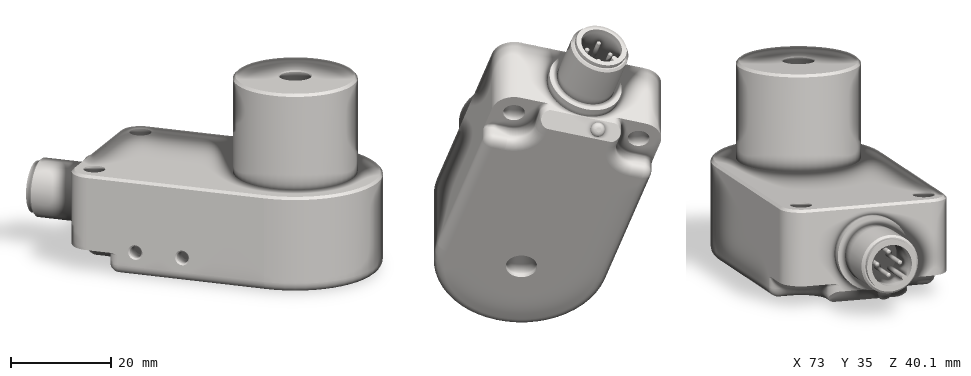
import cadquery as cq
import math

HALF_WIDTH = 17.5
BACK_X = -42.5
HOUSING_HEIGHT = 20.0
CORNER_RADIUS = 4.5
TOP_CHAMFER = 0.5
BOTTOM_FILLET = 2.0
BACK_CHAMFER = 2.7

HOLE_X = BACK_X + CORNER_RADIUS
HOLE_Y = HALF_WIDTH - CORNER_RADIUS
HOLE_POINTS = [(HOLE_X, -HOLE_Y), (HOLE_X, HOLE_Y)]
HOLE_RADIUS = 2.2
BUSHING_RADIUS = 3.1
POCKET_HEIGHT = 4.4
POCKET_RADIUS = 4.5
POCKET_LIP_RADIUS = 2.0
POCKET_CEILING_FILLET = 0.4
CUT_MARGIN = 0.7

INDICATOR_Y = -3.5
INDICATOR_RADIUS = 1.45
INDICATOR_HEIGHT = 1.1
INDICATOR_FILLET = 0.95

COVER_THICKNESS = 2.0
COVER_BACK_MARGIN = 1.25
COVER_HALF_WIDTH = 16.0
COVER_END_RADIUS = 16.35
COVER_NOTCH_RADIUS = 4.5
TOWER_RADIUS = 12.5
TOWER_HEIGHT = 20.0
TOWER_CHAMFER = 0.5
BORE_RADIUS = 3.15
BORE_CHAMFER = 0.2

INSERT_XS = [-27.5, -17.5]
INSERT_Z = 5.0
INSERT_RADIUS = 2.05
INSERT_LENGTH = 4.0
INSERT_HOLE_RADIUS = 1.25
INSERT_HOLE_DEPTH = 2.9
INSERT_HOLE_CHAMFER = 0.3

CONNECTOR_Z = 10.5
FLANGE_RADIUS = 7.5
FLANGE_LENGTH = 2.0
BARREL_RADIUS = 6.0
BARREL_CHAMFER = 0.45
TIP_RADIUS = 5.25
TIP_LENGTH = 0.9
CONNECTOR_LENGTH = 13.0
SOCKET_RADIUS = 4.2
SOCKET_DEPTH = 9.0
PIN_RADIUS = 0.45
PIN_LENGTH = 7.3
PIN_TIP_CHAMFER = 0.2
PIN_CIRCLE_RADIUS = 2.4
PIN_COUNT = 4
PIN_RECESS_RADIUS = 0.9
PIN_RECESS_DEPTH = 0.5
KEY_RADIUS = 0.5
KEY_CENTRE_RADIUS = 3.8
KEY_ANGLE = 225


def housing_outline():
    """Plan outline: a square end with rounded corners and a half-round end."""
    return (
        cq.Workplane("XY")
        .moveTo(BACK_X + CORNER_RADIUS, HALF_WIDTH)
        .lineTo(0, HALF_WIDTH)
        .threePointArc((HALF_WIDTH, 0), (0, -HALF_WIDTH))
        .lineTo(BACK_X + CORNER_RADIUS, -HALF_WIDTH)
        .radiusArc((BACK_X, -HALF_WIDTH + CORNER_RADIUS), CORNER_RADIUS)
        .lineTo(BACK_X, HALF_WIDTH - CORNER_RADIUS)
        .radiusArc((BACK_X + CORNER_RADIUS, HALF_WIDTH), CORNER_RADIUS)
        .close()
    )


def pocket_cutter(side):
    """Corner pocket around one hole axis, rounded along its ceiling; side is -1 or 1 for its Y sign."""
    wall_x = HOLE_X + POCKET_RADIUS
    wall_y = HOLE_Y - POCKET_RADIUS
    lip = POCKET_LIP_RADIUS
    bend = POCKET_RADIUS * math.sqrt(0.5)
    lip_bend = lip * (1 - math.sqrt(0.5))
    outer_x = BACK_X - CUT_MARGIN
    outer_y = HALF_WIDTH + CUT_MARGIN
    cutter = (
        cq.Workplane("XY")
        .moveTo(BACK_X, wall_y - lip)
        .threePointArc((BACK_X + lip_bend, wall_y - lip_bend), (BACK_X + lip, wall_y))
        .lineTo(HOLE_X, wall_y)
        .threePointArc((HOLE_X + bend, HOLE_Y - bend), (wall_x, HOLE_Y))
        .lineTo(wall_x, HALF_WIDTH - lip)
        .threePointArc((wall_x + lip_bend, HALF_WIDTH - lip_bend), (wall_x + lip, HALF_WIDTH))
        .lineTo(wall_x + lip, outer_y)
        .lineTo(outer_x, outer_y)
        .lineTo(outer_x, wall_y - lip)
        .close()
        .extrude(POCKET_HEIGHT)
    )
    wall_corner = (wall_x, wall_y, POCKET_HEIGHT)
    ceiling_edge = cutter.faces(">Z").edges(cq.selectors.NearestToPointSelector(wall_corner))
    cutter = ceiling_edge.fillet(POCKET_CEILING_FILLET)
    return cutter if side > 0 else cutter.mirror("XZ")


def side_insert(x):
    """Sleeve with a blind, chamfered hole, flush with the -Y side of the housing."""
    mouth = cq.Workplane("XZ", origin=(x, -HALF_WIDTH, INSERT_Z))
    body = mouth.circle(INSERT_RADIUS).extrude(-INSERT_LENGTH)
    hole = mouth.circle(INSERT_HOLE_RADIUS).extrude(-INSERT_HOLE_DEPTH)
    sleeve = body.cut(hole)
    hole_edge = sleeve.faces("<Y").edges(cq.selectors.RadiusNthSelector(0))
    return hole_edge.chamfer(INSERT_HOLE_CHAMFER)


def cover_outline():
    """Plan outline of the cover: straight sides, an arc around the tower and notches at the holes."""
    back_x = BACK_X + COVER_BACK_MARGIN
    notch_x = HOLE_X + COVER_NOTCH_RADIUS
    notch_y = HOLE_Y - COVER_NOTCH_RADIUS
    bend = COVER_NOTCH_RADIUS * math.sqrt(0.5)
    arc_x = -math.sqrt(COVER_END_RADIUS**2 - COVER_HALF_WIDTH**2)
    return (
        cq.Workplane("XY", origin=(0, 0, HOUSING_HEIGHT))
        .moveTo(back_x, notch_y)
        .lineTo(HOLE_X, notch_y)
        .threePointArc((HOLE_X + bend, HOLE_Y - bend), (notch_x, HOLE_Y))
        .lineTo(notch_x, COVER_HALF_WIDTH)
        .lineTo(arc_x, COVER_HALF_WIDTH)
        .threePointArc((COVER_END_RADIUS, 0), (arc_x, -COVER_HALF_WIDTH))
        .lineTo(notch_x, -COVER_HALF_WIDTH)
        .lineTo(notch_x, -HOLE_Y)
        .threePointArc((HOLE_X + bend, -HOLE_Y + bend), (HOLE_X, -notch_y))
        .lineTo(back_x, -notch_y)
        .close()
    )


def make_cover():
    plate = cover_outline().extrude(-COVER_THICKNESS)
    tower = (
        cq.Workplane("XY", origin=(0, 0, HOUSING_HEIGHT))
        .circle(TOWER_RADIUS)
        .extrude(TOWER_HEIGHT)
        .faces(">Z").chamfer(TOWER_CHAMFER)
    )
    cover = plate.union(tower).cut(tower_bore())
    bore_edge = cover.faces(">Z").edges(cq.selectors.RadiusNthSelector(0))
    return bore_edge.chamfer(BORE_CHAMFER)


def tower_bore():
    return cq.Workplane("XY").circle(BORE_RADIUS).extrude(HOUSING_HEIGHT + TOWER_HEIGHT)


def bushing(x, y):
    """Plain sleeve from the pocket ceiling to the top face."""
    return (
        cq.Workplane("XY", origin=(x, y, POCKET_HEIGHT))
        .circle(BUSHING_RADIUS)
        .circle(HOLE_RADIUS)
        .extrude(HOUSING_HEIGHT - POCKET_HEIGHT)
    )


def indicator():
    """Round-edged button standing square on the middle of the back bevel."""
    bevel_middle = BACK_CHAMFER / 2
    bevel_plane = cq.Plane(
        origin=(BACK_X + bevel_middle, INDICATOR_Y, bevel_middle),
        xDir=(0, 1, 0),
        normal=(-1, 0, -1),
    )
    button = cq.Workplane(bevel_plane).workplane(offset=-INDICATOR_HEIGHT)
    button = button.circle(INDICATOR_RADIUS).extrude(2 * INDICATOR_HEIGHT)
    outer_face = button.faces(cq.selectors.DirectionMinMaxSelector(bevel_plane.zDir))
    return outer_face.edges().fillet(INDICATOR_FILLET)


def make_housing():
    housing = housing_outline().extrude(HOUSING_HEIGHT)
    for side in (-1, 1):
        housing = housing.cut(pocket_cutter(side))
    housing = housing.faces("<Z").edges().fillet(BOTTOM_FILLET)
    housing = housing.faces(">Z").edges().chamfer(TOP_CHAMFER)

    bevel = (
        cq.Workplane("XZ", origin=(BACK_X, HALF_WIDTH, 0))
        .polyline([(0, 0), (BACK_CHAMFER, 0), (0, BACK_CHAMFER)])
        .close()
        .extrude(2 * HALF_WIDTH)
    )
    housing = housing.cut(bevel).union(indicator())

    housing = housing.cut(tower_bore()).cut(cover_outline().extrude(-COVER_THICKNESS))
    bushing_seats = (
        cq.Workplane("XY").pushPoints(HOLE_POINTS).circle(BUSHING_RADIUS).extrude(HOUSING_HEIGHT)
    )
    insert_seats = (
        cq.Workplane("XZ", origin=(0, -HALF_WIDTH, INSERT_Z))
        .pushPoints([(x, 0) for x in INSERT_XS])
        .circle(INSERT_RADIUS)
        .extrude(-INSERT_LENGTH)
    )
    return housing.cut(bushing_seats).cut(insert_seats)


def connector_disc(radius, start, length):
    """Round piece on the connector axis; start is the distance from the back end of the housing."""
    return (
        cq.Workplane("YZ", origin=(BACK_X - start, 0, CONNECTOR_Z))
        .circle(radius)
        .extrude(-length)
    )


def make_connector():
    barrel_end = CONNECTOR_LENGTH - TIP_LENGTH
    floor = CONNECTOR_LENGTH - SOCKET_DEPTH
    barrel = connector_disc(BARREL_RADIUS, 0, barrel_end).faces("<X").chamfer(BARREL_CHAMFER)
    connector = (
        connector_disc(FLANGE_RADIUS, 0, FLANGE_LENGTH)
        .union(barrel)
        .union(connector_disc(TIP_RADIUS, 0, CONNECTOR_LENGTH))
        .cut(connector_disc(SOCKET_RADIUS, floor, SOCKET_DEPTH))
    )

    nose = cq.Workplane("YZ").circle(KEY_RADIUS).extrude(-SOCKET_DEPTH)
    root_length = SOCKET_RADIUS + KEY_RADIUS - KEY_CENTRE_RADIUS
    root = (
        cq.Workplane("YZ")
        .center(root_length / 2, 0)
        .rect(root_length, 2 * KEY_RADIUS)
        .extrude(-SOCKET_DEPTH)
    )
    key = (
        nose.union(root)
        .translate((BACK_X - floor, KEY_CENTRE_RADIUS, 0))
        .rotate((0, 0, 0), (1, 0, 0), KEY_ANGLE)
        .translate((0, 0, CONNECTOR_Z))
    )
    connector = connector.union(key)

    for index in range(PIN_COUNT):
        angle = 2 * math.pi * index / PIN_COUNT
        offset = (0, PIN_CIRCLE_RADIUS * math.cos(angle), PIN_CIRCLE_RADIUS * math.sin(angle))
        recess_bottom = floor - PIN_RECESS_DEPTH
        recess = connector_disc(PIN_RECESS_RADIUS, recess_bottom, PIN_RECESS_DEPTH)
        pin = connector_disc(PIN_RADIUS, recess_bottom, PIN_RECESS_DEPTH + PIN_LENGTH)
        pin = pin.faces("<X").chamfer(PIN_TIP_CHAMFER)
        connector = connector.cut(recess.translate(offset)).union(pin.translate(offset))
    return connector


housing = make_housing()
cover = make_cover()
connector = make_connector()
bushings = [bushing(x, y) for x, y in HOLE_POINTS]
side_inserts = [side_insert(x) for x in INSERT_XS]

result = cq.Compound.makeCompound(
    [
        housing.val(),
        cover.val(),
        connector.val(),
        *[body.val() for body in bushings],
        *[body.val() for body in side_inserts],
    ]
)